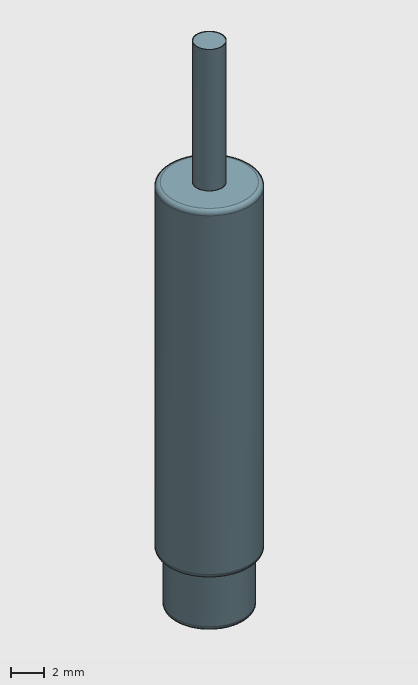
import cadquery as cq

total_height = 40.0
base_diameter = 5.5
base_height = 4.0
body_diameter = 6.5
pin_diameter = 2.0
pin_height = 10.0
edge_radius = 0.3

body_height = total_height - base_height - pin_height


def cylinder(diameter, height, bottom):
    """Solid cylinder on the Z axis, standing at the given height."""
    return cq.Workplane("XY").workplane(offset=bottom).circle(diameter / 2).extrude(height)


base = cylinder(base_diameter, base_height, 0).faces("<Z").fillet(edge_radius)

body = cylinder(body_diameter, body_height, base_height).faces("<Z or >Z").fillet(edge_radius)

pin = cylinder(pin_diameter, pin_height, base_height + body_height)

result = base.union(body).union(pin)